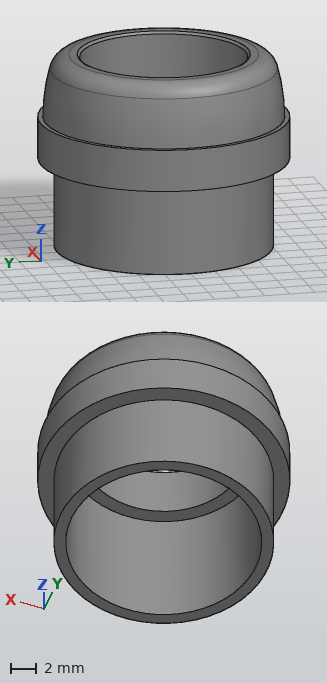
import cadquery as cq
import math

collar_diameter = 19.5
spigot_diameter = 17.0
dome_base_diameter = 18.72

total_height = 15.3
spigot_height = 7.02
collar_thickness = 3.32
shoulder_height = 14.2

upper_bore_diameter = 13.0
lower_bore_diameter = 15.15
bore_ledge_height = 10.65
mouth_chamfer = 0.2

shoulder_radius = 8.81
dome_base_radius = dome_base_diameter / 2
collar_top = spigot_height + collar_thickness
dome_rise = shoulder_height - collar_top
dome_inset = dome_base_radius - shoulder_radius
shoulder_lean = 2 * math.atan2(dome_inset, dome_rise)
dome_arc_radius = dome_rise / math.sin(shoulder_lean)
dome_arc_center = dome_base_radius - dome_arc_radius
dome_mid = (
    dome_arc_center + dome_arc_radius * math.cos(shoulder_lean / 2),
    collar_top + dome_arc_radius * math.sin(shoulder_lean / 2),
)

rim_arc_radius = (total_height - shoulder_height) / (1 - math.sin(shoulder_lean))
rim_flat_radius = shoulder_radius - rim_arc_radius * math.cos(shoulder_lean)
rim_mid_angle = (shoulder_lean + math.pi / 2) / 2
rim_mid = (
    rim_flat_radius + rim_arc_radius * math.cos(rim_mid_angle),
    total_height - rim_arc_radius + rim_arc_radius * math.sin(rim_mid_angle),
)


def make_outer_body():
    """Revolve the spigot, collar and domed head as one solid body."""
    return (
        cq.Workplane("XZ")
        .moveTo(0, 0)
        .lineTo(spigot_diameter / 2, 0)
        .lineTo(spigot_diameter / 2, spigot_height)
        .lineTo(collar_diameter / 2, spigot_height)
        .lineTo(collar_diameter / 2, collar_top)
        .lineTo(dome_base_radius, collar_top)
        .threePointArc(dome_mid, (shoulder_radius, shoulder_height))
        .threePointArc(rim_mid, (rim_flat_radius, total_height))
        .lineTo(0, total_height)
        .close()
        .revolve(360, (0, 0, 0), (0, 1, 0))
    )


def make_bore():
    """Revolve the stepped through bore with its chamfered mouth."""
    upper_bore_radius = upper_bore_diameter / 2
    return (
        cq.Workplane("XZ")
        .moveTo(0, 0)
        .lineTo(lower_bore_diameter / 2, 0)
        .lineTo(lower_bore_diameter / 2, bore_ledge_height)
        .lineTo(upper_bore_radius, bore_ledge_height)
        .lineTo(upper_bore_radius, total_height - mouth_chamfer)
        .lineTo(upper_bore_radius + mouth_chamfer, total_height)
        .lineTo(0, total_height)
        .close()
        .revolve(360, (0, 0, 0), (0, 1, 0))
    )


result = make_outer_body().cut(make_bore())